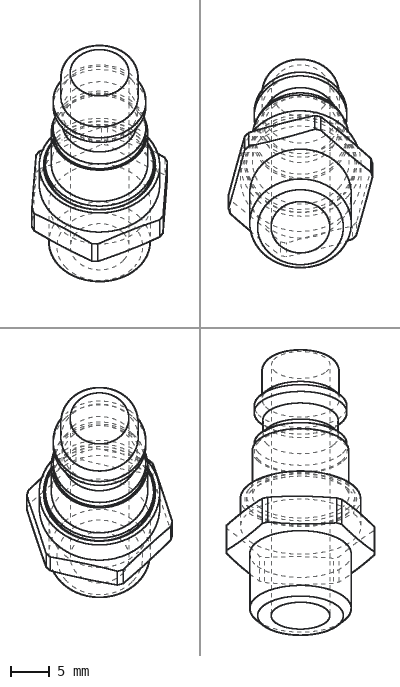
import cadquery as cq
import math

total_height = 36.5
thread_top = 8.98
hex_height = 4.0
hex_top = thread_top + hex_height
shoulder_top = 17.0
step_top = 17.45
body_top = 24.0
flare_bottom = 25.0
neck_bottom = 26.1
neck_top = 28.45
collar_bottom = 29.53
collar_top = 30.5
nose_bottom = 31.5

bore_radius = 7.6 / 2
neck_radius = 9.75 / 2
nose_radius = 10.0 / 2
collar_radius = 12.0 / 2
body_radius = 12.5 / 2
thread_radius = 13.15 / 2
step_radius = 14.0 / 2
groove_floor_radius = 14.1 / 2
groove_mouth_radius = 14.5 / 2
shoulder_radius = 15.6 / 2

groove_depth = 0.3

thread_chamfer = 1.02
nose_fillet = 1.0
flare_radius = 2.0

across_flats = 17.0
hex_turned_diameter = 19.2
hex_chamfer_angle = 10.0


def make_turned_body():
    """Revolve the outer profile, given as (radius, height), about Z."""
    return (
        cq.Workplane("XZ")
        .lineTo(thread_radius - thread_chamfer, 0)
        .lineTo(thread_radius, thread_chamfer)
        .lineTo(thread_radius, thread_top)
        .lineTo(shoulder_radius, thread_top)
        .lineTo(shoulder_radius, shoulder_top)
        .lineTo(groove_mouth_radius, shoulder_top)
        .lineTo(groove_floor_radius, shoulder_top - groove_depth)
        .lineTo(step_radius, shoulder_top - groove_depth)
        .lineTo(step_radius, step_top)
        .lineTo(body_radius, step_top)
        .lineTo(body_radius, body_top)
        .lineTo(collar_radius, body_top)
        .lineTo(collar_radius, flare_bottom)
        .radiusArc((neck_radius, neck_bottom), flare_radius)
        .lineTo(neck_radius, neck_top)
        .radiusArc((collar_radius, collar_bottom), flare_radius)
        .lineTo(collar_radius, collar_top)
        .lineTo(nose_radius, nose_bottom)
        .lineTo(nose_radius, total_height)
        .lineTo(0, total_height)
        .close()
        .revolve(360, (0, 0, 0), (0, 1, 0))
        .faces(">Z")
        .edges()
        .fillet(nose_fillet)
    )


def make_hexagon():
    """Cut a hexagon from a turned blank with a shallow cone on both faces."""
    across_corners = across_flats / math.cos(math.radians(30))
    prism = (
        cq.Workplane("XY", origin=(0, 0, thread_top))
        .transformed(rotate=(0, 0, 30))
        .polygon(6, across_corners)
        .extrude(hex_height)
    )
    face_radius = across_flats / 2
    blank_radius = hex_turned_diameter / 2
    cone_drop = (blank_radius - face_radius) * math.tan(math.radians(hex_chamfer_angle))
    blank = (
        cq.Workplane("XZ")
        .moveTo(0, thread_top)
        .lineTo(face_radius, thread_top)
        .lineTo(blank_radius, thread_top + cone_drop)
        .lineTo(blank_radius, hex_top - cone_drop)
        .lineTo(face_radius, hex_top)
        .lineTo(0, hex_top)
        .close()
        .revolve(360, (0, 0, 0), (0, 1, 0))
    )
    return prism.intersect(blank)


bore = cq.Workplane("XY").circle(bore_radius).extrude(total_height)
result = make_turned_body().union(make_hexagon()).cut(bore)